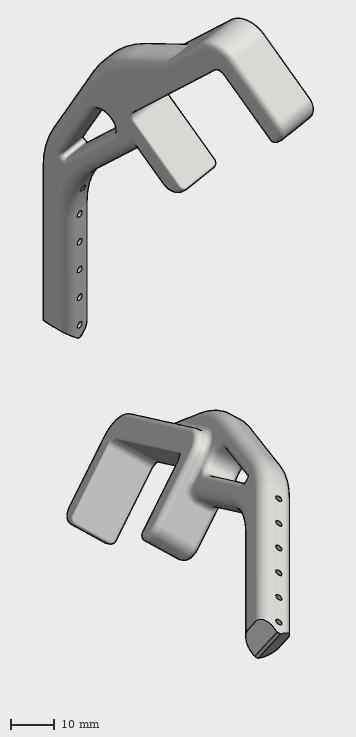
import cadquery as cq
import math

HANDLE_WIDTH = 9.0
HANDLE_EDGE_RADIUS = 3.0
BEND_RADIUS = 30.0
OUTER_LEAN = 25.0
SHOULDER_LEAN = 58.0
OUTER_BEND_Z = 53.0
SHOULDER_BEND_Z = 92.1
INNER_BEND_Z = 41.4
TIP_CHAMFER = 4.0

CLIP_LEAN = 40.0
CLIP_WIDTH = 12.5
CLIP_START = 76.13
CLIP_BACK = -45.33
MOUTH_HEIGHT = 43.0
ARM_THICKNESS = 6.0
SPINE_THICKNESS = 7.0
ARM_LENGTH = 22.0
BACK_CORNER_RADIUS = 7.0
ARM_END_RADIUS = 4.0
MOUTH_CORNER_RADIUS = 2.0
CLIP_EDGE_RADIUS = 1.5
MOUTH_EDGE_RADIUS = 0.5
JOINT_RADIUS = 1.5
HANDLE_OVERLAP = 2.5
ARM_OVERLAP = 1.5

SLOT_TOP_X = 15.1
SLOT_TOP_Z = 79.5
SLOT_TOP_RADIUS = 3.65
SLOT_BOTTOM_RADIUS = 0.75
SLOT_EDGE_RADIUS = 1.5
CONTACT_GAP = 1e-4

HOLE_DIAMETER = 1.7
HOLE_COUNT = 6
HOLE_PITCH = 9.0
FIRST_HOLE_Z = 4.0

HALF_WIDTH = HANDLE_WIDTH / 2
CLIP_HEIGHT = MOUTH_HEIGHT + 2 * ARM_THICKNESS
CLIP_DEPTH = SPINE_THICKNESS + ARM_LENGTH


def heading(lean):
    """Unit vector in XZ, leaning the given degrees from vertical towards +X."""
    angle = math.radians(lean)
    return math.sin(angle), math.cos(angle)


def step(point, lean, distance):
    """Point reached from another one by moving along a lean."""
    dx, dz = heading(lean)
    return point[0] + distance * dx, point[1] + distance * dz


def bend(point, lean_in, lean_out):
    """Middle and end of an arc of BEND_RADIUS that turns from one lean to another."""
    def chord_end(lean):
        turn = math.radians(lean - lean_in)
        return step(point, (lean + lean_in) / 2, 2 * BEND_RADIUS * math.sin(turn / 2))
    return chord_end((lean_in + lean_out) / 2), chord_end(lean_out)


def clip_point(along, across):
    """XZ point given along and across the spine of the clip."""
    return step(step((0, 0), CLIP_LEAN, along), CLIP_LEAN + 90, across)


def clip_position(point):
    """Distances of an XZ point along and across the spine of the clip."""
    dx, dz = heading(CLIP_LEAN)
    return point[0] * dx + point[1] * dz, point[0] * dz - point[1] * dx


def xz_plane(y):
    """Sketch plane at the given Y, with local axes X and Z; it extrudes towards -Y."""
    return cq.Workplane("XZ", origin=(0, y, 0))


def make_handle():
    """Handle with rounded long edges, ending inside the clip."""
    outer_start = (-HALF_WIDTH, OUTER_BEND_Z)
    outer_mid, outer_end = bend(outer_start, 0, OUTER_LEAN)
    rise = (SHOULDER_BEND_Z - outer_end[1]) / math.cos(math.radians(OUTER_LEAN))
    shoulder_start = step(outer_end, OUTER_LEAN, rise)
    shoulder_mid, shoulder_end = bend(shoulder_start, OUTER_LEAN, SHOULDER_LEAN)
    inner_start = (HALF_WIDTH, INNER_BEND_Z)
    inner_mid, inner_end = bend(inner_start, 0, CLIP_LEAN)

    seat_across = CLIP_BACK + HANDLE_OVERLAP
    seat_along = CLIP_START + ARM_OVERLAP
    gap = seat_across - clip_position(shoulder_end)[1]
    shoulder_slope = math.sin(math.radians(SHOULDER_LEAN - CLIP_LEAN))
    shoulder_tip = step(shoulder_end, SHOULDER_LEAN, gap / shoulder_slope)
    strut_tip = clip_point(seat_along, clip_position(inner_end)[1])
    seat_upper = clip_point(CLIP_START + BACK_CORNER_RADIUS, seat_across)
    seat_lower = clip_point(seat_along, CLIP_BACK + BACK_CORNER_RADIUS)

    body = (
        xz_plane(HALF_WIDTH)
        .moveTo(-HALF_WIDTH, 0)
        .lineTo(*outer_start)
        .threePointArc(outer_mid, outer_end)
        .lineTo(*shoulder_start)
        .threePointArc(shoulder_mid, shoulder_end)
        .lineTo(*shoulder_tip)
        .lineTo(*seat_upper)
        .lineTo(*seat_lower)
        .lineTo(*strut_tip)
        .lineTo(*inner_end)
        .threePointArc(inner_mid, inner_start)
        .lineTo(HALF_WIDTH, 0)
        .close()
        .extrude(HANDLE_WIDTH)
    )
    grip = cq.selectors.BoxSelector(
        (-HANDLE_WIDTH, -HANDLE_WIDTH, 0), (HANDLE_WIDTH, HANDLE_WIDTH, OUTER_BEND_Z)
    )
    return body.faces("<Y or >Y").edges(grip).edges("|Z").fillet(HANDLE_EDGE_RADIUS)


def make_slot():
    """Slot cutter: two circles of different size joined by their tangent lines."""
    slot_lean = (OUTER_LEAN + CLIP_LEAN) / 2
    half_taper = (CLIP_LEAN - OUTER_LEAN) / 2
    length = (SLOT_TOP_RADIUS - SLOT_BOTTOM_RADIUS) / math.sin(math.radians(half_taper))
    top = (SLOT_TOP_X, SLOT_TOP_Z)
    bottom = step(top, slot_lean, -length)
    left = OUTER_LEAN - 90
    right = CLIP_LEAN + 90
    return (
        xz_plane(HANDLE_WIDTH)
        .moveTo(*step(bottom, left, SLOT_BOTTOM_RADIUS))
        .lineTo(*step(top, left, SLOT_TOP_RADIUS))
        .threePointArc(step(top, slot_lean, SLOT_TOP_RADIUS), step(top, right, SLOT_TOP_RADIUS))
        .lineTo(*step(bottom, right, SLOT_BOTTOM_RADIUS))
        .threePointArc(
            step(bottom, slot_lean, -SLOT_BOTTOM_RADIUS), step(bottom, left, SLOT_BOTTOM_RADIUS)
        )
        .close()
        .extrude(2 * HANDLE_WIDTH)
    )


def cut_slot(handle):
    """Cut the slot and round both of its rims."""
    slot = make_slot()
    pierced = handle.cut(slot)
    rims = [
        edge for edge in pierced.faces("<Y or >Y").edges().vals()
        if slot.val().distance(edge) < CONTACT_GAP
    ]
    return pierced.newObject(rims).fillet(SLOT_EDGE_RADIUS)


def make_tip_cutter():
    """Two corner wedges that bring the lower end to a chisel tip."""
    cutter = cq.Workplane("YZ", origin=(-HANDLE_WIDTH, 0, 0))
    for side in (-1, 1):
        cutter = cutter.polyline([
            (side * HALF_WIDTH, 0),
            (side * (HALF_WIDTH - TIP_CHAMFER), 0),
            (side * HALF_WIDTH, TIP_CHAMFER),
        ]).close()
    return cutter.extrude(2 * HANDLE_WIDTH)


def make_holes():
    """Row of cylinders along X, one per cross hole."""
    centres = [(0, FIRST_HOLE_Z + i * HOLE_PITCH) for i in range(HOLE_COUNT)]
    return (
        cq.Workplane("YZ", origin=(-HANDLE_WIDTH, 0, 0))
        .pushPoints(centres)
        .circle(HOLE_DIAMETER / 2)
        .extrude(2 * HANDLE_WIDTH)
    )


def make_clip():
    """Clip built upright, spine along Z and arms along +X, then leaned about the Y axis."""
    block = cq.Workplane("XY").box(CLIP_DEPTH, CLIP_WIDTH, CLIP_HEIGHT, centered=False)
    block = block.edges("|Y and <X").fillet(BACK_CORNER_RADIUS)
    block = block.edges("|Y and >X").fillet(ARM_END_RADIUS)
    block = block.faces("<Y or >Y").edges().fillet(CLIP_EDGE_RADIUS)
    mouth = (
        cq.Workplane("XY", origin=(SPINE_THICKNESS, 0, ARM_THICKNESS))
        .box(CLIP_DEPTH, CLIP_WIDTH, MOUTH_HEIGHT, centered=False)
        .edges("|Y and <X")
        .fillet(MOUTH_CORNER_RADIUS)
    )
    clip = block.cut(mouth)
    clip = clip.edges("|Y").edges(">X").fillet(MOUTH_EDGE_RADIUS)
    return (
        clip
        .translate((CLIP_BACK, -HALF_WIDTH, CLIP_START))
        .rotate((0, 0, 0), (0, 1, 0), CLIP_LEAN)
    )


def blend_joint(part):
    """Fillet the seam where the handle meets the clip; it runs on around the seam by tangency."""
    seam_along = CLIP_START + CLIP_HEIGHT / 3
    x, z = clip_point(seam_along, CLIP_BACK)
    return part.edges(cq.selectors.NearestToPointSelector((x, HALF_WIDTH, z))).fillet(JOINT_RADIUS)


handle = cut_slot(make_handle())
handle = handle.cut(make_tip_cutter()).cut(make_holes())
result = blend_joint(make_clip().union(handle))